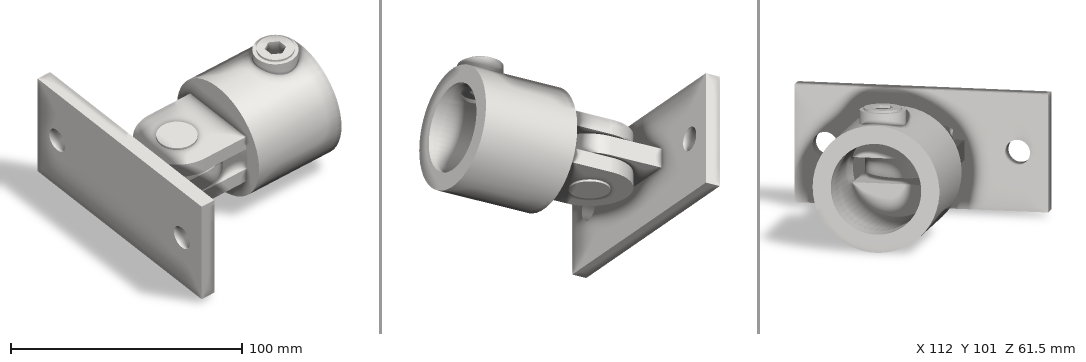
import cadquery as cq


plate_width = 112.0
plate_height = 52.0
plate_thickness = 7.0
plate_front_y = -32.0
plate_back_y = plate_front_y + plate_thickness
mount_hole_diameter = 11.0
mount_hole_spacing = 85.0

leaf_width = 38.0
leaf_radius = leaf_width / 2
tongue_thickness = 9.0
tongue_round_center_y = 1.0
fork_gap = 11.1
fork_arm_thickness = 7.0
fork_outer_height = fork_gap + 2 * fork_arm_thickness

pin_diameter = 10.0
pin_head_diameter = 18.0
pin_head_thickness = 1.0

socket_diameter = 56.0
socket_length = 46.0
socket_front_y = 23.0
socket_back_y = socket_front_y + socket_length
bore_diameter = 40.0
socket_end_wall = 4.9

boss_diameter = 20.0
boss_top_z = 32.5
boss_center_y = socket_back_y - 14.0
screw_diameter = 16.5
screw_top_z = boss_top_z + 1.0
screw_tip_z = bore_diameter / 2
hex_across_flats = 8.2
hex_across_corners = hex_across_flats * 2 / 3**0.5


def cylinder_z(diameter, bottom_z, top_z, center_y=0.0):
    """Upright cylinder centred on X = 0."""
    return (
        cq.Workplane("XY", origin=(0, center_y, bottom_z))
        .circle(diameter / 2)
        .extrude(top_z - bottom_z)
    )


def cylinder_y(diameter, start_y, end_y):
    """Cylinder along the tube axis."""
    return (
        cq.Workplane("XZ", origin=(0, start_y, 0))
        .circle(diameter / 2)
        .extrude(start_y - end_y)
    )


def hinge_leaf(root_y, round_center_y, bottom_z, thickness):
    """Leaf with a square root, a full-round end and a hole for the pin."""
    direction = 1 if round_center_y > root_y else -1
    tip_y = round_center_y + direction * leaf_radius
    blank = (
        cq.Workplane("XY", origin=(0, 0, bottom_z))
        .moveTo(-leaf_radius, root_y)
        .lineTo(-leaf_radius, round_center_y)
        .threePointArc((0, tip_y), (leaf_radius, round_center_y))
        .lineTo(leaf_radius, root_y)
        .close()
        .extrude(thickness)
    )
    return blank.cut(cylinder_z(pin_diameter, bottom_z, bottom_z + thickness))


def make_base():
    """Plate with two mounting holes and the central hinge tongue."""
    plate = (
        cq.Workplane("XZ", origin=(0, plate_back_y, 0))
        .rect(plate_width, plate_height)
        .extrude(plate_thickness)
    )
    mount_holes = (
        cq.Workplane("XZ", origin=(0, plate_back_y, 0))
        .rarray(mount_hole_spacing, 1.1, 2, 1)
        .circle(mount_hole_diameter / 2)
        .extrude(plate_thickness)
    )
    tongue = hinge_leaf(plate_back_y, tongue_round_center_y, -tongue_thickness / 2, tongue_thickness)
    return plate.cut(mount_holes).union(tongue)


def make_end_wall_opening():
    """Stretch of the bore between the fork arms, continued through the end wall."""
    bore_run = cylinder_y(bore_diameter, socket_front_y, socket_front_y + socket_end_wall)
    gap_slab = (
        cq.Workplane("XY", origin=(0, socket_front_y + socket_end_wall / 2, 0))
        .box(bore_diameter, socket_end_wall, fork_gap)
    )
    return bore_run.intersect(gap_slab)


def make_socket():
    """Tube socket with a clamping boss on top, an opening in its end wall and a two-arm fork."""
    body = cylinder_y(socket_diameter, socket_front_y, socket_back_y)
    body = body.union(cylinder_z(boss_diameter, 0, boss_top_z, boss_center_y))
    body = body.cut(cylinder_y(bore_diameter, socket_front_y + socket_end_wall, socket_back_y))
    body = body.cut(cylinder_z(screw_diameter, 0, boss_top_z, boss_center_y))
    body = body.cut(make_end_wall_opening())
    for arm_bottom_z in (-fork_outer_height / 2, fork_gap / 2):
        body = body.union(hinge_leaf(socket_front_y, 0, arm_bottom_z, fork_arm_thickness))
    return body


def make_hinge_pin():
    """Shaft through all the leaves, with a flat head outside each fork arm."""
    head_seat_z = fork_outer_height / 2
    head_top_z = head_seat_z + pin_head_thickness
    shaft = cylinder_z(pin_diameter, -head_seat_z, head_seat_z)
    upper_head = cylinder_z(pin_head_diameter, head_seat_z, head_top_z)
    lower_head = cylinder_z(pin_head_diameter, -head_top_z, -head_seat_z)
    return shaft.union(upper_head).union(lower_head)


def make_set_screw():
    """Set screw with a hexagonal drive passing right through it."""
    screw_length = screw_top_z - screw_tip_z
    drive = (
        cq.Workplane("XY", origin=(0, boss_center_y, screw_tip_z))
        .polygon(6, hex_across_corners)
        .extrude(screw_length)
    )
    return cylinder_z(screw_diameter, screw_tip_z, screw_top_z, boss_center_y).cut(drive)


base = make_base()
socket = make_socket()
hinge_pin = make_hinge_pin()
set_screw = make_set_screw()

result = cq.Compound.makeCompound([base.val(), socket.val(), hinge_pin.val(), set_screw.val()])